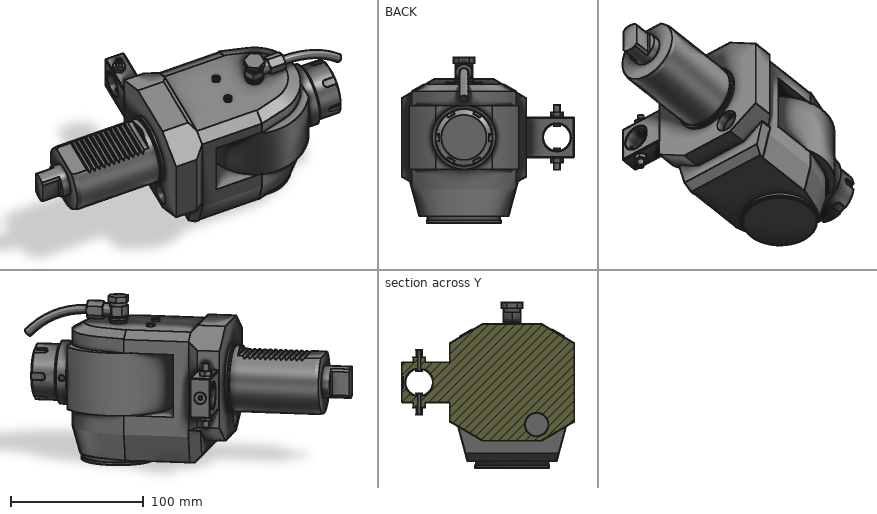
import cadquery as cq
import math


flange_half_width = 47.0
flange_half_height = 44.0
flange_top_half_width = 22.2
flange_side_half_height = 29.5
flange_side_depth = 17.0

body_half_width = 38.7
body_top = 40.0
body_bevel_width = 9.2
body_bevel_height = 5.7
body_straight_end = 74.7
wedge_start = 15.7
wedge_top = -33.5
wedge_knee = -38.7
body_bottom = -59.5
wedge_end_chamfer = 6.0
wedge_slope = 0.27
wedge_foot_half_width = 39.2

flange_depth = flange_side_depth + flange_half_width - body_half_width

head_center = 86.1
head_radius = 41.2
head_front = 121.3
nose_radius = 34.7
nose_half_width = 39.2
nose_bevel_height = 5.2
nose_draft_width = 5.7
window_half_height = 24.0
window_start = 37.0

cover_radius = 28.0
cover_neck_radius = 27.5
cover_neck_bottom = -62.5
cover_bottom = -64.7
cover_chamfer = 0.5

shank_radius = 25.0
shank_end = -71.5
shank_end_chamfer_length = 3.0
shank_end_chamfer = 0.7
collar_radius = 26.2
collar_length = 2.0
collar_groove_radius = 24.5
collar_groove_end = -3.5
shank_flat_height = 20.2
shank_flat_lip = 1.0
shank_flat_start = -8.0
tooth_pitch = 4.0
tooth_depth = 1.7
tooth_count = 12
first_tooth = -13.5
tang_radius = 12.0
tang_end = -92.0
tang_flat_start = -77.6
tang_half_thickness = 6.5
tang_chamfer_across = 2.5
tang_chamfer_along = 3.0
tang_root = 1.2

locating_x = 18.5
locating_z = -31.7
locating_radius = 8.7
locating_depth = 7.5

neck_radius = 22.0
ring_radius = 24.0
ring_start = 121.8
ring_end = 129.3
nut_radius = 21.2
nut_end = 149.8
nut_chamfer_length = 1.7
nut_chamfer = 4.2
nut_groove_radius = 20.0
nut_groove_width = 1.7
slot_count = 6
slot_width = 5.7
slot_depth = 2.5
slot_end = 138.3
ring_hole_radius = 2.37
ring_hole_y = 125.0
ring_hole_depth = 3.0

stem_radius = 6.5
stem_top = 55.7
washer_radius = 7.0
washer_bottom = 42.0
washer_top = 44.0
bolt_head_top = 60.2
bolt_head_corner = 8.0
banjo_corner = 7.7
banjo_bottom = 45.2
banjo_top = 53.0
pipe_z = 49.0
connector_radius = 5.2
pipe_nut_start = 97.0
pipe_nut_end = 109.4
pipe_nut_corner = 7.0
pipe_nut_chamfer = 0.7
pipe_radius = 3.2
pipe_bend_start = 110.9
pipe_bend_radius = 59.7
pipe_bend_angle = 43
pipe_tip_length = 5.5

screw_x = 10.7
screw_y = 59.5
screw_radius = 3.0
screw_height = 1.5
screw_socket_corner = 1.7
screw_socket_bottom = 39.0

bracket_left = -83.1
bracket_half_height = 15.2
bracket_front = 0.5
bracket_back = 16.0
bracket_chamfer = 0.7
bracket_hole_x = -70.0
bracket_hole_radius = 10.2
bracket_hole_chamfer = 0.5
side_recess_radius = 4.5
side_recess_depth = 1.2
side_hole_radius = 1.5
jet_y = 6.2
jet_nut_corner = 4.7
jet_nut_height = 3.7
jet_radius = 2.37
jet_bore_radius = 1.0
jet_inner_end = 8.2
jet_outer_end = 24.5


def box(x_range, y_range, z_range):
    size = [high - low for low, high in (x_range, y_range, z_range)]
    return cq.Workplane("XY").box(*size, centered=False).translate((x_range[0], y_range[0], z_range[0]))


def rod(radius, y_start, y_end, x=0, z=0):
    """Cylinder along Y."""
    return cq.Workplane("XZ", origin=(x, y_start, z)).circle(radius).extrude(y_start - y_end)


def post(radius, x, y, z_start, z_end):
    """Cylinder along Z."""
    return cq.Workplane("XY", origin=(x, y, z_start)).circle(radius).extrude(z_end - z_start)


def hexagon(corner_radius, turn=0):
    angles = [math.radians(turn + 60 * i) for i in range(6)]
    return [(corner_radius * math.cos(a), corner_radius * math.sin(a)) for a in angles]


def make_flange():
    profile = [
        (flange_top_half_width, flange_half_height),
        (flange_half_width, flange_side_half_height),
        (flange_half_width, -flange_side_half_height),
        (flange_top_half_width, -flange_half_height),
    ]
    profile += [(-x, z) for x, z in reversed(profile)]
    flange = cq.Workplane("XZ").polyline(profile).close().extrude(-flange_depth)
    plan = [
        (-flange_half_width, 0),
        (flange_half_width, 0),
        (flange_half_width, flange_side_depth),
        (body_half_width, flange_depth),
        (-body_half_width, flange_depth),
        (-flange_half_width, flange_side_depth),
    ]
    flange = flange.intersect(
        cq.Workplane("XY", origin=(0, 0, -flange_half_height))
        .polyline(plan).close().extrude(2 * flange_half_height)
    )
    top_bevel = flange_half_height - body_top
    side_view = [
        (0, -flange_half_height),
        (flange_depth, -flange_half_height),
        (flange_depth, body_top),
        (flange_depth - top_bevel, flange_half_height),
        (0, flange_half_height),
    ]
    return flange.intersect(
        cq.Workplane("YZ").polyline(side_view).close().extrude(flange_half_width, both=True)
    )


def make_body():
    shoulder = [
        (body_half_width - body_bevel_width, body_top),
        (body_half_width, body_top - body_bevel_height),
        (body_half_width, wedge_knee),
    ]
    outline = shoulder + [(-x, z) for x, z in reversed(shoulder)]
    upper = (
        cq.Workplane("XZ", origin=(0, flange_depth, 0))
        .polyline(outline).close().extrude(flange_depth - body_straight_end)
    )
    foot = make_wedge(wedge_foot_half_width, wedge_top, flange_depth)
    keel = make_wedge(body_half_width, wedge_knee, body_straight_end)
    return upper.union(foot).union(keel)


def make_wedge(knee_half_width, top, end):
    """Tapered block below the body, with its lower front edge chamfered."""
    side = [(knee_half_width + wedge_slope * (z - wedge_knee), z) for z in (top, body_bottom)]
    profile = side + [(-x, z) for x, z in reversed(side)]
    wedge = (
        cq.Workplane("XZ", origin=(0, wedge_start, 0))
        .polyline(profile).close().extrude(wedge_start - end)
    )
    return wedge.faces("<Y").edges("<Z").chamfer(wedge_end_chamfer)


def nose_outline(z, inset):
    """Closed plan outline: an arc about the head axis with tangent tapered flanks, drawn in by inset."""
    radius = nose_radius - inset
    half_width = nose_half_width - inset
    reach = math.hypot(half_width, body_straight_end - head_center)
    angle = math.atan2(body_straight_end - head_center, half_width) + math.acos(radius / reach)
    tangent_x = radius * math.cos(angle)
    tangent_y = head_center + radius * math.sin(angle)
    return (
        cq.Workplane("XY", origin=(0, 0, z))
        .moveTo(-half_width, body_straight_end)
        .lineTo(half_width, body_straight_end)
        .lineTo(tangent_x, tangent_y)
        .threePointArc((0, head_center + radius), (-tangent_x, tangent_y))
        .close()
    )


def nose_layer(z_start, inset_start, z_end, inset_end):
    wires = [nose_outline(z, inset).wire().val() for z, inset in ((z_start, inset_start), (z_end, inset_end))]
    return cq.Workplane(cq.Solid.makeLoft(wires, True))


def make_nose():
    bevel_start = body_top - nose_bevel_height
    middle = nose_outline(wedge_knee, 0).extrude(bevel_start - wedge_knee)
    return (
        middle
        .union(nose_layer(bevel_start, 0, body_top, body_bevel_width))
        .union(nose_layer(wedge_knee, 0, body_bottom, nose_draft_width))
    )


def make_head():
    drum = post(head_radius, 0, head_center, -window_half_height, window_half_height)
    return drum.intersect(
        box((-head_radius, head_radius), (0, head_front), (-window_half_height, window_half_height))
    )


def make_cover():
    neck = post(cover_neck_radius, 0, head_center, body_bottom, cover_neck_bottom)
    plate = post(cover_radius, 0, head_center, cover_neck_bottom, cover_bottom)
    return neck.union(plate.faces("<Z").chamfer(cover_chamfer))


def make_shank():
    profile = [
        (0, 0),
        (collar_radius, 0),
        (collar_radius, -collar_length),
        (collar_groove_radius, -collar_length),
        (collar_groove_radius, collar_groove_end),
        (shank_radius, collar_groove_end),
        (shank_radius, shank_end + shank_end_chamfer_length),
        (shank_radius - shank_end_chamfer, shank_end),
        (0, shank_end),
    ]
    shank = cq.Workplane("XY").polyline(profile).close().revolve(360, (0, 0, 0), (0, 1, 0))
    flat = [
        (shank_end, shank_flat_height),
        (shank_flat_start, shank_flat_height),
        (shank_flat_start, shank_radius - shank_flat_lip),
        (shank_flat_start + shank_flat_lip, shank_radius),
        (shank_end, shank_radius),
    ]
    shank = shank.cut(cq.Workplane("YZ").polyline(flat).close().extrude(shank_radius, both=True))
    for i in range(tooth_count):
        center = first_tooth - i * tooth_pitch
        groove = [
            (center - tooth_depth, shank_flat_height),
            (center, shank_flat_height - tooth_depth),
            (center + tooth_depth, shank_flat_height),
        ]
        shank = shank.cut(cq.Workplane("YZ").polyline(groove).close().extrude(shank_radius, both=True))
    return shank.union(make_tang())


def make_tang():
    journal = rod(tang_radius, shank_end, tang_flat_start)
    corner = [
        (tang_half_thickness - tang_chamfer_across, tang_radius),
        (tang_half_thickness, tang_radius - tang_chamfer_along),
    ]
    half = corner + [(x, -z) for x, z in reversed(corner)]
    section = half + [(-x, -z) for x, z in half]
    bar = (
        cq.Workplane("XZ", origin=(0, tang_flat_start, 0))
        .polyline(section).close().extrude(tang_flat_start - tang_end)
    )
    root_half_height = tang_radius - tang_chamfer_along
    root_plan = [
        (tang_half_thickness + tang_root, tang_flat_start),
        (tang_half_thickness, tang_flat_start - tang_root),
        (-tang_half_thickness, tang_flat_start - tang_root),
        (-tang_half_thickness - tang_root, tang_flat_start),
    ]
    root = cq.Workplane("XY").polyline(root_plan).close().extrude(root_half_height, both=True)
    blade = bar.union(root).intersect(rod(tang_radius, tang_flat_start, tang_end))
    return journal.union(blade)


def make_collet_nut():
    neck = rod(neck_radius, head_front, ring_start)
    ring = rod(ring_radius, ring_start, ring_end)
    ring = ring.cut(
        cq.Workplane("YZ", origin=(-ring_radius, ring_hole_y, 0))
        .circle(ring_hole_radius).extrude(ring_hole_depth)
    )
    groove = rod(nut_groove_radius, ring_end, ring_end + nut_groove_width)
    nut = rod(nut_radius, ring_end + nut_groove_width, nut_end)
    nut = nut.faces(">Y").edges().chamfer(nut_chamfer_length, nut_chamfer)
    floor = nut_radius - slot_depth
    for i in range(slot_count):
        cutter = (
            cq.Workplane("YZ", origin=(floor, 0, 0))
            .moveTo(nut_end, slot_width / 2)
            .lineTo(slot_end + slot_width / 2, slot_width / 2)
            .threePointArc((slot_end, 0), (slot_end + slot_width / 2, -slot_width / 2))
            .lineTo(nut_end, -slot_width / 2)
            .close()
            .extrude(2 * slot_depth)
            .rotate((0, 0, 0), (0, 1, 0), i * 360 / slot_count)
        )
        nut = nut.cut(cutter)
    return neck.union(ring).union(groove).union(nut)


def make_fitting():
    stem = post(stem_radius, 0, head_center, body_top, stem_top)
    washer = post(washer_radius, 0, head_center, washer_bottom, washer_top)
    bolt_head = (
        cq.Workplane("XY", origin=(0, head_center, stem_top))
        .polyline(hexagon(bolt_head_corner)).close().extrude(bolt_head_top - stem_top)
    )
    banjo = (
        cq.Workplane("XY", origin=(0, head_center, banjo_bottom))
        .polyline(hexagon(banjo_corner, 30)).close().extrude(banjo_top - banjo_bottom)
    )
    connector = rod(connector_radius, head_center, pipe_nut_start, z=pipe_z)
    pipe_nut = (
        cq.Workplane("XZ", origin=(0, pipe_nut_start, pipe_z))
        .polyline(hexagon(pipe_nut_corner, 30)).close().extrude(pipe_nut_start - pipe_nut_end)
    )
    pipe_nut = pipe_nut.intersect(
        rod(pipe_nut_corner, pipe_nut_start, pipe_nut_end, z=pipe_z)
        .faces("<Y or >Y").chamfer(pipe_nut_chamfer)
    )
    fitting = stem
    for piece in (washer, bolt_head, banjo, connector, pipe_nut, make_pipe()):
        fitting = fitting.union(piece)
    return fitting


def make_pipe():
    def on_bend(degrees):
        angle = math.radians(degrees)
        return (
            pipe_bend_start + pipe_bend_radius * math.sin(angle),
            pipe_z - pipe_bend_radius * (1 - math.cos(angle)),
        )

    bend_end = on_bend(pipe_bend_angle)
    slope = math.radians(pipe_bend_angle)
    tip = (bend_end[0] + pipe_tip_length * math.cos(slope), bend_end[1] - pipe_tip_length * math.sin(slope))
    path = (
        cq.Workplane("YZ")
        .moveTo(pipe_nut_end, pipe_z)
        .lineTo(pipe_bend_start, pipe_z)
        .threePointArc(on_bend(pipe_bend_angle / 2), bend_end)
        .lineTo(*tip)
    )
    return cq.Workplane("XZ", origin=(0, pipe_nut_end, pipe_z)).circle(pipe_radius).sweep(path)


def make_screw(x):
    return post(screw_radius, x, screw_y, body_top, body_top + screw_height)


def make_screw_socket(x):
    return (
        cq.Workplane("XY", origin=(x, screw_y, screw_socket_bottom))
        .polyline(hexagon(screw_socket_corner)).close().extrude(body_top + screw_height - screw_socket_bottom)
    )


def make_bracket():
    bracket = box(
        (bracket_left, -flange_half_width),
        (bracket_front, bracket_back),
        (-bracket_half_height, bracket_half_height),
    )
    bracket = bracket.edges("|X or <X").chamfer(bracket_chamfer)
    bracket = bracket.cut(rod(bracket_hole_radius, bracket_front, bracket_back, x=bracket_hole_x))
    bracket = bracket.faces("<Y or >Y").edges("%CIRCLE").chamfer(bracket_hole_chamfer)
    middle = (bracket_front + bracket_back) / 2
    end_face = cq.Workplane("YZ", origin=(bracket_left, middle, 0))
    bracket = bracket.cut(end_face.circle(side_recess_radius).extrude(side_recess_depth))
    bracket = bracket.cut(end_face.circle(side_hole_radius).extrude(bracket_hole_x - bracket_left))
    for side in (1, -1):
        nut_start = side * bracket_half_height
        nut = (
            cq.Workplane("XY", origin=(bracket_hole_x, jet_y, nut_start))
            .polyline(hexagon(jet_nut_corner)).close().extrude(side * jet_nut_height)
        )
        jet = post(jet_radius, bracket_hole_x, jet_y, side * jet_inner_end, side * jet_outer_end)
        bracket = bracket.union(nut).union(jet)
    return bracket.cut(post(jet_bore_radius, bracket_hole_x, jet_y, -jet_outer_end, jet_outer_end))


window = box(
    (-flange_half_width, flange_half_width),
    (window_start, head_center + head_radius),
    (-window_half_height, window_half_height),
)
result = make_flange().union(make_body()).union(make_nose()).cut(window)
result = result.cut(rod(locating_radius, 0, locating_depth, x=locating_x, z=locating_z))
for feature in (make_head(), make_cover(), make_shank(), make_collet_nut(), make_fitting(), make_bracket()):
    result = result.union(feature)
for x in (-screw_x, screw_x):
    result = result.union(make_screw(x)).cut(make_screw_socket(x))